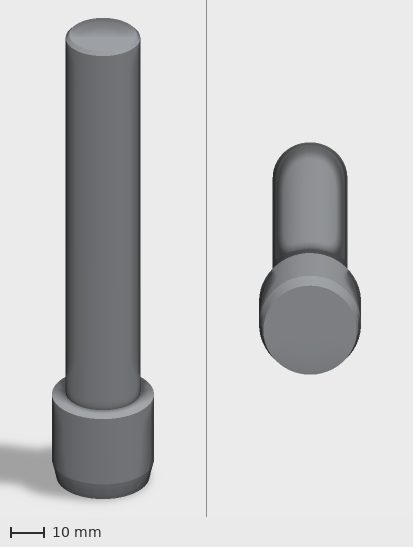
import cadquery as cq

total_length = 150.0
shank_radius = 22.0 / 2
shank_chamfer = 1.0
head_radius = 25.0 / 2
head_height = 28.0

sleeve_radius = 30.2 / 2
sleeve_foot_radius = 27.6 / 2
sleeve_taper_height = 5.7
shoulder_outer_height = 27.9
shoulder_inner_height = 28.6


def revolve_profile(points):
    """Turn a closed (radius, height) outline around the Z axis."""
    return cq.Workplane("XZ").polyline(points).close().revolve(360, (0, 0, 0), (0, 1, 0))


def make_pin():
    """Shank with a chamfered upper end, on a plain cylindrical head."""
    return revolve_profile([
        (0, 0),
        (head_radius, 0),
        (head_radius, head_height),
        (shank_radius, head_height),
        (shank_radius, total_length - shank_chamfer),
        (shank_radius - shank_chamfer, total_length),
        (0, total_length),
    ])


def make_sleeve():
    """Ring with a tapered foot, and a shallow conical shoulder covering the pin head."""
    return revolve_profile([
        (head_radius, 0),
        (sleeve_foot_radius, 0),
        (sleeve_radius, sleeve_taper_height),
        (sleeve_radius, shoulder_outer_height),
        (shank_radius, shoulder_inner_height),
        (shank_radius, head_height),
        (head_radius, head_height),
    ])


pin = make_pin()
sleeve = make_sleeve()

result = cq.Compound.makeCompound([pin.val(), sleeve.val()])